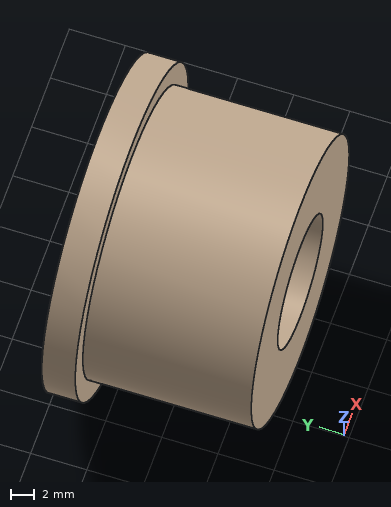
import cadquery as cq

flange_diameter = 30.0
body_diameter = 26.0
bore_diameter = 12.0
total_length = 18.0
flange_thickness = 3.0
body_length = total_length - flange_thickness

body = cq.Workplane("XZ").circle(body_diameter / 2).extrude(-body_length)

flange = (
    cq.Workplane("XZ", origin=(0, body_length, 0))
    .circle(flange_diameter / 2)
    .extrude(-flange_thickness)
)

bore = cq.Workplane("XZ").circle(bore_diameter / 2).extrude(-total_length)

result = body.union(flange).cut(bore)